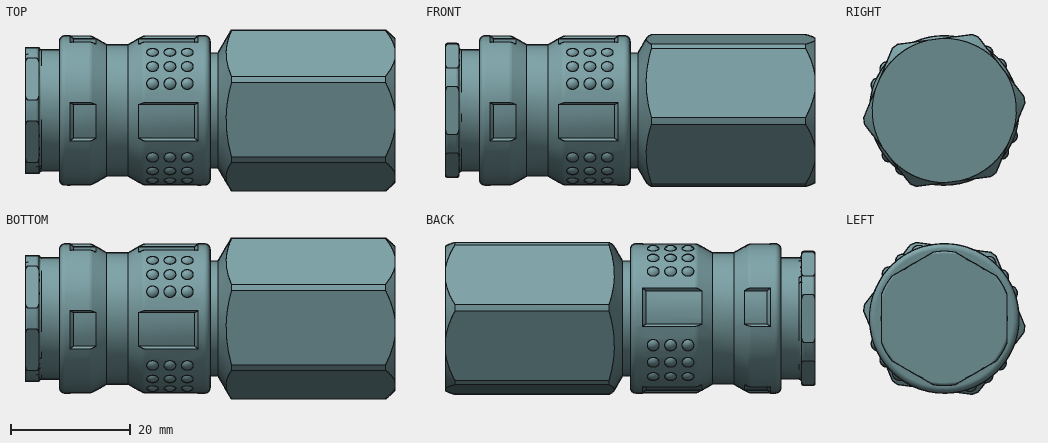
import cadquery as cq
import math


TOTAL_LENGTH = 61.8
FLANGE_LENGTH = 2.3
FLANGE_DIAMETER = 22.5
FLANGE_ACROSS_FLATS = 21.0
FLANGE_TURN = 30.0
FLANGE_EDGE_FILLET = 0.45
NECK_ROOT_FILLET = 0.4
FRONT_NECK_DIAMETER = 20.3
REAR_NECK_DIAMETER = 19.3
NUT_START = 32.2
NUT_DIAMETER = 27.05
NUT_ACROSS_FLATS = 24.0
NUT_TURN = 7.5
NUT_FRONT_CHAMFER_ANGLE = 60.0
NUT_END_DIAMETER = 24.1
NUT_END_CHAMFER_LENGTH = 1.6

SLEEVE_START = 5.7
SLEEVE_END = 30.9
SLEEVE_DIAMETER = 25.0
SLEEVE_FILLET = 1.0
WAIST_DIAMETER = 22.0
WAIST_START = 13.6
WAIST_END = 17.2
WAIST_CONE_ANGLE = 30.0

GRIP_COUNT = 4
GRIP_STEP = 360.0 / GRIP_COUNT
GRIP_TURN = 9.0

PANEL_DEPTH = 0.5
PANEL_END_RUN = 0.55
PANEL_HALF_ANGLE = 15.0
FRONT_PANEL_EDGE = 7.5
REAR_PANEL_EDGE = 28.85

BUMP_COUNT = 3
BUMP_SPHERE_RADIUS = 1.25
BUMP_HEIGHT = 0.5
BUMP_CENTER_X = 24.15
BUMP_PITCH_X = 2.9
BUMP_PITCH_ANGLE = 15.0

SLEEVE_RADIUS = SLEEVE_DIAMETER / 2
AXIS_START = (0, 0, 0)
AXIS_END = (1, 0, 0)


def revolve_profile(points):
    """Revolve a closed outline of (x, radius) points about the X axis."""
    return cq.Workplane("XY").polyline(points).close().revolve(360, AXIS_START, AXIS_END)


def cylinder(start, end, diameter):
    """Cylinder along X from start to end."""
    return cq.Workplane("YZ").workplane(offset=start).circle(diameter / 2).extrude(end - start)


def hex_prism(start, end, across_flats, corner_angle):
    """Hexagonal prism along X with one corner at corner_angle degrees from +Y."""
    across_corners = across_flats / math.cos(math.radians(30))
    prism = cq.Workplane("YZ").workplane(offset=start).polygon(6, across_corners).extrude(end - start)
    return prism.rotate(AXIS_START, AXIS_END, corner_angle)


def turn_about_x(shape, angle):
    """Move a shape built on the +Z side to an angle measured from -Y toward +Z."""
    return shape.rotate(AXIS_START, AXIS_END, 90 - angle)


def make_flange():
    """Round-cornered hex flange with flats facing -Y and +Y."""
    disc = cylinder(0, FLANGE_LENGTH, FLANGE_DIAMETER).edges().fillet(FLANGE_EDGE_FILLET)
    return disc.intersect(hex_prism(0, FLANGE_LENGTH, FLANGE_ACROSS_FLATS, FLANGE_TURN))


def make_front_neck():
    """Neck between flange and sleeve, with a concave fillet against the flange."""
    radius = FRONT_NECK_DIAMETER / 2
    fillet_end = FLANGE_LENGTH + NECK_ROOT_FILLET
    bend = NECK_ROOT_FILLET * (1 - math.sqrt(0.5))
    profile = (
        cq.Workplane("XY")
        .moveTo(FLANGE_LENGTH, 0)
        .lineTo(FLANGE_LENGTH, radius + NECK_ROOT_FILLET)
        .threePointArc((FLANGE_LENGTH + bend, radius + bend), (fillet_end, radius))
        .lineTo(SLEEVE_START, radius)
        .lineTo(SLEEVE_START, 0)
        .close()
    )
    return profile.revolve(360, AXIS_START, AXIS_END)


def make_nut():
    """Hex nut with turned corners and a cone at each end."""
    radius = NUT_DIAMETER / 2
    neck_radius = REAR_NECK_DIAMETER / 2
    cone_length = (radius - neck_radius) / math.tan(math.radians(NUT_FRONT_CHAMFER_ANGLE))
    blank = revolve_profile([
        (NUT_START, 0),
        (NUT_START, neck_radius),
        (NUT_START + cone_length, radius),
        (TOTAL_LENGTH - NUT_END_CHAMFER_LENGTH, radius),
        (TOTAL_LENGTH, NUT_END_DIAMETER / 2),
        (TOTAL_LENGTH, 0),
    ])
    return blank.intersect(hex_prism(NUT_START, TOTAL_LENGTH, NUT_ACROSS_FLATS, NUT_TURN))


def make_core():
    """Flange, necks and nut; the slimmer rear neck also carries the sleeve."""
    rear_neck = cylinder(SLEEVE_START, NUT_START, REAR_NECK_DIAMETER)
    return make_flange().union(make_front_neck()).union(rear_neck).union(make_nut())


def make_sleeve_blank():
    """Waisted sleeve with every edge at full diameter rounded, bored to fit the rear neck."""
    waist_radius = WAIST_DIAMETER / 2
    cone_length = (SLEEVE_RADIUS - waist_radius) / math.tan(math.radians(WAIST_CONE_ANGLE))
    blank = revolve_profile([
        (SLEEVE_START, 0),
        (SLEEVE_START, SLEEVE_RADIUS),
        (WAIST_START - cone_length, SLEEVE_RADIUS),
        (WAIST_START, waist_radius),
        (WAIST_END, waist_radius),
        (WAIST_END + cone_length, SLEEVE_RADIUS),
        (SLEEVE_END, SLEEVE_RADIUS),
        (SLEEVE_END, 0),
    ])
    full_diameter_edges = blank.edges(cq.selectors.RadiusNthSelector(-1))
    blank = full_diameter_edges.fillet(SLEEVE_FILLET)
    return blank.cut(cylinder(SLEEVE_START, SLEEVE_END, REAR_NECK_DIAMETER))


def make_panel_cutter(outer_edge, waist_edge):
    """Cutter on the +Z side for one panel, from its end wall to the edge of the waist."""
    toward_waist = math.copysign(1, waist_edge - outer_edge)
    floor_radius = SLEEVE_RADIUS - PANEL_DEPTH
    top_radius = SLEEVE_RADIUS + PANEL_DEPTH

    ring = revolve_profile([
        (outer_edge - toward_waist * PANEL_END_RUN, top_radius),
        (outer_edge + toward_waist * PANEL_END_RUN, floor_radius),
        (waist_edge, floor_radius),
        (waist_edge, top_radius),
    ])

    rim_half_width = SLEEVE_RADIUS * math.sin(math.radians(PANEL_HALF_ANGLE))
    rim_height = SLEEVE_RADIUS * math.cos(math.radians(PANEL_HALF_ANGLE))
    apex_height = rim_height - rim_half_width
    top_half_width = top_radius - apex_height
    wedge = (
        cq.Workplane("YZ")
        .polyline([(0, apex_height), (top_half_width, top_radius), (-top_half_width, top_radius)])
        .close()
        .extrude(TOTAL_LENGTH)
    )
    return ring.intersect(wedge)


def make_bump(x):
    """Ball on the +Z side whose cap stands proud of the sleeve."""
    center_height = SLEEVE_RADIUS + BUMP_HEIGHT - BUMP_SPHERE_RADIUS
    return cq.Workplane("XY").sphere(BUMP_SPHERE_RADIUS).translate((x, 0, center_height))


def make_sleeve():
    """Sleeve with recessed panels and bump fields around it."""
    sleeve = make_sleeve_blank()
    front_panel = make_panel_cutter(FRONT_PANEL_EDGE, WAIST_START)
    rear_panel = make_panel_cutter(REAR_PANEL_EDGE, WAIST_END)
    middle = (BUMP_COUNT - 1) / 2
    for grip in range(GRIP_COUNT):
        panel_angle = grip * GRIP_STEP - GRIP_TURN
        sleeve = sleeve.cut(turn_about_x(front_panel, panel_angle))
        sleeve = sleeve.cut(turn_about_x(rear_panel, panel_angle))

        field_angle = panel_angle + GRIP_STEP / 2
        for column in range(BUMP_COUNT):
            bump = make_bump(BUMP_CENTER_X + (column - middle) * BUMP_PITCH_X)
            for row in range(BUMP_COUNT):
                bump_angle = field_angle + (row - middle) * BUMP_PITCH_ANGLE
                sleeve = sleeve.union(turn_about_x(bump, bump_angle))
    return sleeve


core = make_core()
sleeve = make_sleeve()

result = cq.Compound.makeCompound([core.solids().val(), sleeve.solids().val()])